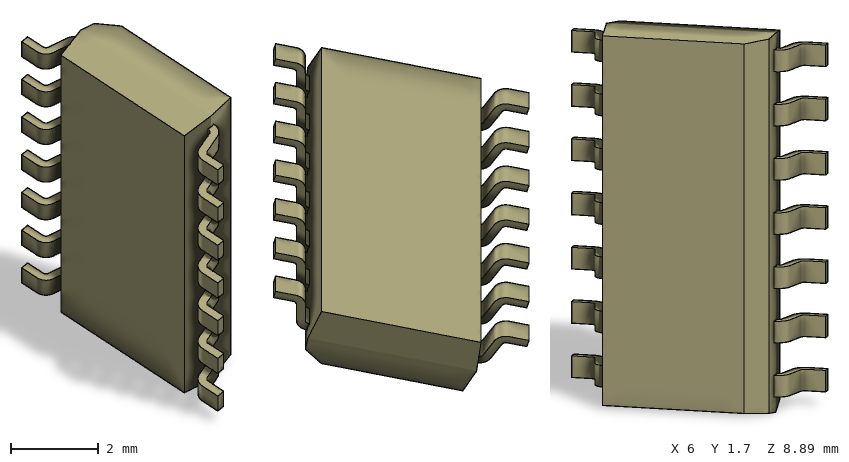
import cadquery as cq
import math

body_width = 4.0
body_length = 8.89
half_thickness = 0.8
draft_angle = 8.0
standoff = 0.1

bevel_width = 0.43
bevel_depth = 0.39

leads_per_side = 7
lead_pitch = 1.27
lead_width = 0.51
lead_thickness = 0.205
lead_span = 6.0
lead_lean = 15.0
bend_inner_radius = 0.11
lead_embed = 0.36

parting_y = standoff + half_thickness
top_y = parting_y + half_thickness
bend_outer_radius = bend_inner_radius + lead_thickness


def make_body():
    """Two drafted halves joined at the parting plane."""
    parting_plane = cq.Workplane("XZ", origin=(0, parting_y, 0))
    outline = parting_plane.rect(body_width, body_length)
    lower_half = outline.extrude(half_thickness, taper=draft_angle)
    upper_half = lower_half.mirror("XZ", (0, parting_y, 0))
    return lower_half.union(upper_half)


def make_bevel_cutter():
    """Wedge removed along the full length of the -X edge of the +Y face."""
    draft = math.tan(math.radians(draft_angle))
    face_edge_x = -body_width / 2 + half_thickness * draft
    side_edge_x = face_edge_x - bevel_depth * draft
    clear_x = -body_width / 2
    bevel_slope = bevel_depth / (face_edge_x + bevel_width - side_edge_x)
    clear_y = top_y - bevel_depth - bevel_slope * (side_edge_x - clear_x)
    wedge = [(face_edge_x + bevel_width, top_y), (clear_x, clear_y), (clear_x, top_y)]
    return cq.Workplane("XY").polyline(wedge).close().extrude(body_length / 2, both=True)


def make_lead():
    """One +X lead centred on Z = 0: shoulder, bend, leaning leg, bend, foot."""
    lean = math.radians(lead_lean)
    tip_x = lead_span / 2
    shoulder_x = body_width / 2
    buried_x = shoulder_x - lead_embed
    shoulder_top = parting_y + lead_thickness / 2
    shoulder_bottom = shoulder_top - lead_thickness

    sweep = math.pi / 2 - lean
    shoulder_center = (shoulder_x, shoulder_top - bend_outer_radius)
    center_rise = shoulder_center[1] - bend_outer_radius
    center_gap = 2 * bend_inner_radius + lead_thickness
    center_run = (center_gap + center_rise * math.sin(lean)) / math.cos(lean)
    foot_center = (shoulder_x + center_run, bend_outer_radius)

    def shoulder_point(radius, turn):
        return (
            shoulder_center[0] + radius * math.sin(turn),
            shoulder_center[1] + radius * math.cos(turn),
        )

    def foot_point(radius, turn):
        return (
            foot_center[0] - radius * math.sin(turn),
            foot_center[1] - radius * math.cos(turn),
        )

    profile = (
        cq.Workplane("XY", origin=(0, 0, -lead_width / 2))
        .moveTo(buried_x, shoulder_top)
        .lineTo(shoulder_x, shoulder_top)
        .threePointArc(
            shoulder_point(bend_outer_radius, sweep / 2),
            shoulder_point(bend_outer_radius, sweep),
        )
        .lineTo(*foot_point(bend_inner_radius, sweep))
        .threePointArc(
            foot_point(bend_inner_radius, sweep / 2),
            foot_point(bend_inner_radius, 0),
        )
        .lineTo(tip_x, lead_thickness)
        .lineTo(tip_x, 0)
        .lineTo(foot_center[0], 0)
        .threePointArc(
            foot_point(bend_outer_radius, sweep / 2),
            foot_point(bend_outer_radius, sweep),
        )
        .lineTo(*shoulder_point(bend_inner_radius, sweep))
        .threePointArc(
            shoulder_point(bend_inner_radius, sweep / 2),
            shoulder_point(bend_inner_radius, 0),
        )
        .lineTo(buried_x, shoulder_bottom)
        .close()
    )
    return profile.extrude(lead_width)


result = make_body().cut(make_bevel_cutter())

right_lead = make_lead()
left_lead = right_lead.mirror("YZ")
for index in range(leads_per_side):
    lead_z = (index - (leads_per_side - 1) / 2) * lead_pitch
    for lead in (left_lead, right_lead):
        result = result.union(lead.translate((0, 0, lead_z)))